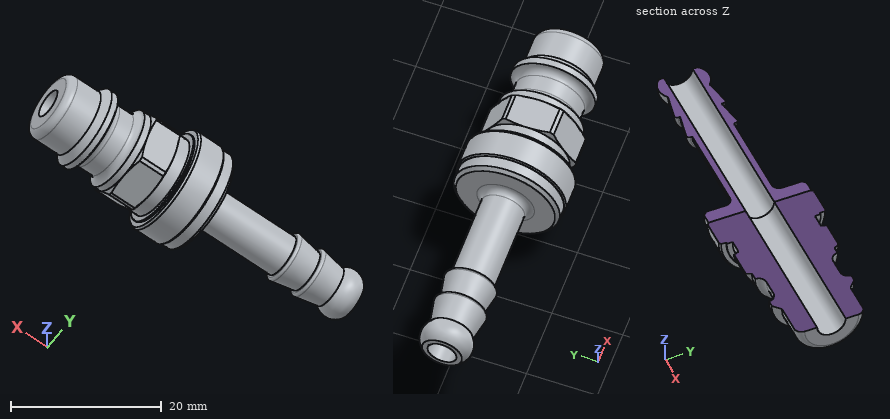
import cadquery as cq
import math

total_length = 50.5
bore_radius = 4.1 / 2
joint_x = 26.95

stem_radius = 6.1 / 2
barb_radius = 3.75
nose_face_radius = 2.85
nose_crest_x = 1.85
nose_end_x = 3.55
barb_pitch = 4.0
barb_lip_round = 0.4
barb_count = 2
flange_x = 24.9
flange_radius = 15.0 / 2
flange_chamfer = 0.5
root_fillet = 1.0

sleeve_radius = 15.5 / 2
sleeve_front_chamfer = 0.2
sleeve_end_x = 31.25
sleeve_end_chamfer_length = 0.35
sleeve_end_chamfer_depth = 0.2
step_radius = 6.8
step_end_x = 31.5
collar_radius = 12.0 / 2
collar_end_x = 39.0
neck_radius = 9.75 / 2
neck_start_x = 40.05
neck_end_x = 42.3
rib_start_x = 43.45
rib_end_x = 44.45
rib_chamfer_length = 1.05
tip_radius = 10.0 / 2
tip_face_radius = 7.85 / 2
tip_round = tip_radius - tip_face_radius

hex_start_x = 33.4
hex_end_x = 37.95
hex_across_flats = 2 * collar_radius
hex_corner_radius = 6.75
hex_chamfer = 0.3


def arc_middle(start, end, center):
    """Point halfway along the short arc from start to end about center."""
    radius = math.dist(start, center)
    dx = (start[0] + end[0]) / 2 - center[0]
    dy = (start[1] + end[1]) / 2 - center[1]
    stretch = radius / math.hypot(dx, dy)
    return (center[0] + dx * stretch, center[1] + dy * stretch)


def revolve_about_x(profile):
    return profile.close().revolve(360, (0, 0, 0), (1, 0, 0))


def add_nose(profile):
    """Nose bulging in a single arc from the end face down to the stem radius."""
    return (
        profile.lineTo(0, nose_face_radius)
        .threePointArc((nose_crest_x, barb_radius), (nose_end_x, stem_radius))
    )


def add_barb(profile, start_x):
    """Conical ramp ending in a rounded lip and a square shoulder."""
    end_x = start_x + barb_pitch
    lip_start = (end_x - barb_lip_round, barb_radius)
    lip_end = (end_x, barb_radius - barb_lip_round)
    lip_center = (lip_start[0], lip_end[1])
    return (
        profile.lineTo(*lip_start)
        .threePointArc(arc_middle(lip_start, lip_end, lip_center), lip_end)
        .lineTo(end_x, stem_radius)
    )


def make_hose_tail():
    profile = add_nose(cq.Workplane("XY").moveTo(0, bore_radius))
    for index in range(barb_count):
        profile = add_barb(profile, nose_end_x + index * barb_pitch)
    root_start = (flange_x - root_fillet, stem_radius)
    root_end = (flange_x, stem_radius + root_fillet)
    root_center = (root_start[0], root_end[1])
    profile = (
        profile.lineTo(*root_start)
        .threePointArc(arc_middle(root_start, root_end, root_center), root_end)
        .lineTo(flange_x, flange_radius - flange_chamfer)
        .lineTo(flange_x + flange_chamfer, flange_radius)
        .lineTo(joint_x, flange_radius)
        .lineTo(joint_x, bore_radius)
    )
    return revolve_about_x(profile)


def make_wrench_hexagon():
    """Hexagon with flats facing up and down, trimmed by a chamfered disc."""
    length = hex_end_x - hex_start_x
    corner_diameter = hex_across_flats / math.cos(math.pi / 6)
    prism = cq.Workplane("YZ", origin=(hex_start_x, 0, 0)).polygon(6, corner_diameter).extrude(length)
    trim = revolve_about_x(
        cq.Workplane("XY")
        .moveTo(hex_start_x, 0)
        .lineTo(hex_start_x, collar_radius)
        .lineTo(hex_start_x + hex_chamfer, hex_corner_radius)
        .lineTo(hex_end_x - hex_chamfer, hex_corner_radius)
        .lineTo(hex_end_x, collar_radius)
        .lineTo(hex_end_x, 0)
    )
    return prism.intersect(trim)


def shoulder_radius(run, rise):
    """Radius of an arc that leaves the neck tangentially and covers run by rise."""
    return (run**2 + rise**2) / (2 * rise)


def add_neck(profile):
    """Latching groove with a concave shoulder at each end, tangent to the neck."""
    rise = collar_radius - neck_radius
    shoulders = (
        ((collar_end_x, collar_radius), (neck_start_x, neck_radius), neck_start_x),
        ((neck_end_x, neck_radius), (rib_start_x, collar_radius), neck_end_x),
    )
    for start, end, tangent_x in shoulders:
        radius = shoulder_radius(end[0] - start[0], rise)
        center = (tangent_x, neck_radius + radius)
        profile = profile.lineTo(*start).threePointArc(arc_middle(start, end, center), end)
    return profile


def make_coupling_plug():
    tip_start = (total_length - tip_round, tip_radius)
    tip_end = (total_length, tip_face_radius)
    tip_center = (tip_start[0], tip_end[1])
    profile = (
        cq.Workplane("XY")
        .moveTo(joint_x, bore_radius)
        .lineTo(joint_x, sleeve_radius - sleeve_front_chamfer)
        .lineTo(joint_x + sleeve_front_chamfer, sleeve_radius)
        .lineTo(sleeve_end_x - sleeve_end_chamfer_length, sleeve_radius)
        .lineTo(sleeve_end_x, sleeve_radius - sleeve_end_chamfer_depth)
        .lineTo(sleeve_end_x, step_radius)
        .lineTo(step_end_x, step_radius)
        .lineTo(step_end_x, collar_radius)
    )
    profile = add_neck(profile)
    profile = (
        profile.lineTo(rib_end_x, collar_radius)
        .lineTo(rib_end_x + rib_chamfer_length, tip_radius)
        .lineTo(*tip_start)
        .threePointArc(arc_middle(tip_start, tip_end, tip_center), tip_end)
        .lineTo(total_length, bore_radius)
    )
    bore_cutter = cq.Workplane("YZ").circle(bore_radius).extrude(total_length)
    hexagon = make_wrench_hexagon().cut(bore_cutter)
    return revolve_about_x(profile).union(hexagon)


hose_tail = make_hose_tail()
coupling_plug = make_coupling_plug()

result = cq.Compound.makeCompound([hose_tail.val(), coupling_plug.val()])